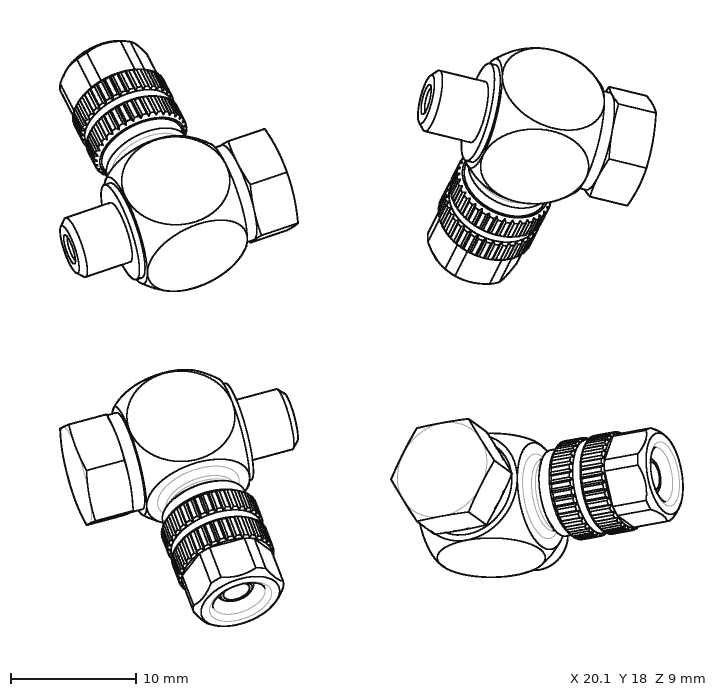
import cadquery as cq
import math


body_width = 9.0
body_depth = 8.65
body_sphere_radius = 6.24

bolt_hex_flats = 8.0
bolt_hex_corners = bolt_hex_flats / math.cos(math.pi / 6)
bolt_hex_height = 3.46
bolt_hex_chamfer = 0.15
collar_diameter = 8.0
rear_collar_height = 1.03
front_collar_height = 0.48
stud_diameter = 5.0
stud_length = 4.39
stud_chamfer = 0.5
bolt_rear_y = body_depth / 2 + rear_collar_height + bolt_hex_height
collar_front_y = -body_depth / 2 - front_collar_height
stud_tip_y = collar_front_y - stud_length

bolt_bore_diameter = 2.0
bolt_bore_end_y = 1.6
bolt_bore_mouth_chamfer = 0.22
drill_point_angle = 118
shank_diameter = 4.2
cross_hole_diameter = 1.5
cross_hole_y = 0.32
chamber_diameter = 5.1
chamber_width = 3.02

overall_length = 20.12
coupling_tip_x = bolt_hex_corners / 2 - overall_length
coupling_hex_length = 3.48
knurl_length = 2.17
knurl_gap = 0.66
first_knurl_x = coupling_tip_x + coupling_hex_length
second_knurl_x = first_knurl_x + knurl_length + knurl_gap
sleeve_end_x = -6.02
neck_start_x = -5.37
neck_end_x = -5.03
body_face_x = -body_width / 2

coupling_hex_flats = 7.0
coupling_hex_round = 7.59
coupling_tip_diameter = 6.6
barrel_diameter = 7.59
sleeve_diameter = 7.0
neck_diameter = 5.8
neck_fillet = body_face_x - neck_end_x
neck_cone_x = -5.81

knurl_diameter = 8.0
knurl_count = 36
knurl_groove_width = 0.32
knurl_groove_depth = 0.18
knurl_chamfer = 0.2
knurl_end_chamfer = 0.35

socket_diameter = 4.4
socket_depth = 3.48
socket_mouth_radius = 0.4
nipple_diameter = 3.0
nipple_recess = 1.0
nipple_tip_chamfer = 0.18
nipple_bore_diameter = 2.2


def cylinder_x(diameter, start, end):
    return cq.Workplane("YZ", origin=(start, 0, 0)).circle(diameter / 2).extrude(end - start)


def cylinder_y(diameter, start, end):
    return cq.Workplane("XZ", origin=(0, end, 0)).circle(diameter / 2).extrude(end - start)


def revolve_y(outline):
    """Revolve (radius, y) points around the Y axis."""
    return cq.Workplane("XY").polyline(outline).close().revolve(360, (0, 0, 0), (0, 1, 0))


def make_body():
    block = cq.Workplane("XY").box(body_width, body_depth, body_width)
    return block.intersect(cq.Workplane("XY").sphere(body_sphere_radius))


def make_bolt_head():
    hex_start = bolt_rear_y - bolt_hex_height
    head = (
        cq.Workplane("XZ", origin=(0, bolt_rear_y, 0))
        .polygon(6, bolt_hex_corners)
        .extrude(bolt_hex_height)
    )
    envelope = revolve_y([
        (0, hex_start),
        (bolt_hex_flats / 2, hex_start),
        (bolt_hex_corners / 2, hex_start + bolt_hex_chamfer),
        (bolt_hex_corners / 2, bolt_rear_y - bolt_hex_chamfer),
        (bolt_hex_flats / 2, bolt_rear_y),
        (0, bolt_rear_y),
    ])
    return head.intersect(envelope)


def make_stud():
    stud = cylinder_y(stud_diameter, stud_tip_y, 0)
    return stud.faces("<Y").chamfer(stud_chamfer)


def make_bolt_bore():
    radius = bolt_bore_diameter / 2
    point_height = radius / math.tan(math.radians(drill_point_angle / 2))
    return revolve_y([
        (0, stud_tip_y),
        (radius + bolt_bore_mouth_chamfer, stud_tip_y),
        (radius, stud_tip_y + bolt_bore_mouth_chamfer),
        (radius, bolt_bore_end_y),
        (0, bolt_bore_end_y + point_height),
    ])


def make_chamber():
    """Ring-shaped chamber between the body and the bolt shank, centred on the cross hole."""
    start = cross_hole_y - chamber_width / 2
    end = start + chamber_width
    return cylinder_y(chamber_diameter, start, end).cut(cylinder_y(shank_diameter, start, end))


def make_cross_hole():
    """Hole right through the shank, joining the chamber to the bolt bore."""
    half_length = shank_diameter / 2
    hole = cylinder_x(cross_hole_diameter, -half_length, half_length)
    return hole.translate((0, cross_hole_y, 0))


def make_coupling_hex():
    across_corners = coupling_hex_flats / math.cos(math.pi / 6)
    chamfer = (coupling_hex_round - coupling_tip_diameter) / 2
    prism = (
        cq.Workplane("YZ", origin=(coupling_tip_x, 0, 0))
        .polygon(6, across_corners)
        .extrude(coupling_hex_length)
    )
    envelope = cylinder_x(coupling_hex_round, coupling_tip_x, first_knurl_x)
    return prism.intersect(envelope.faces("<X").chamfer(chamfer))


def make_knurl(start, end_chamfer):
    """Ring with V grooves along X and chamfered ends."""
    radius = knurl_diameter / 2
    root_radius = radius - knurl_groove_depth
    half_groove = math.asin(knurl_groove_width / knurl_diameter)
    outline = []
    for i in range(knurl_count):
        angle = 2 * math.pi * i / knurl_count
        for r, a in (
            (radius, angle - half_groove),
            (root_radius, angle),
            (radius, angle + half_groove),
        ):
            outline.append((r * math.cos(a), r * math.sin(a)))
    grooved = cq.Workplane("YZ", origin=(start, 0, 0)).polyline(outline).close().extrude(knurl_length)
    envelope = cylinder_x(knurl_diameter, start, start + knurl_length)
    envelope = envelope.faces("<X").chamfer(knurl_chamfer).faces(">X").chamfer(end_chamfer)
    return grooved.intersect(envelope)


def make_neck():
    """Sleeve that narrows to the neck and flares into the body."""
    neck_radius = neck_diameter / 2
    sleeve_radius = sleeve_diameter / 2
    centre_radius = neck_radius + neck_fillet
    cone_angle = math.asin((neck_start_x - neck_cone_x) / neck_fillet)

    def arc_point(centre_x, angle):
        return (centre_x + neck_fillet * math.sin(angle), centre_radius - neck_fillet * math.cos(angle))

    return (
        cq.Workplane("XY")
        .moveTo(second_knurl_x, 0)
        .lineTo(second_knurl_x, sleeve_radius)
        .lineTo(sleeve_end_x, sleeve_radius)
        .lineTo(*arc_point(neck_start_x, -cone_angle))
        .threePointArc(arc_point(neck_start_x, -cone_angle / 2), (neck_start_x, neck_radius))
        .lineTo(neck_end_x, neck_radius)
        .threePointArc(arc_point(neck_end_x, math.pi / 4), (body_face_x, centre_radius))
        .lineTo(0, centre_radius)
        .lineTo(0, 0)
        .close()
        .revolve(360, (0, 0, 0), (1, 0, 0))
    )


def make_socket():
    """Hose socket with a rounded mouth, leaving the nipple standing."""
    radius = socket_diameter / 2
    mouth = socket_mouth_radius
    arc_inset = mouth * (1 - math.sqrt(0.5))
    floor_x = coupling_tip_x + socket_depth
    socket = (
        cq.Workplane("XY")
        .moveTo(coupling_tip_x, 0)
        .lineTo(coupling_tip_x, radius + mouth)
        .threePointArc(
            (coupling_tip_x + arc_inset, radius + arc_inset),
            (coupling_tip_x + mouth, radius),
        )
        .lineTo(floor_x, radius)
        .lineTo(floor_x, 0)
        .close()
        .revolve(360, (0, 0, 0), (1, 0, 0))
    )
    nipple = cylinder_x(nipple_diameter, coupling_tip_x + nipple_recess, floor_x)
    return socket.cut(nipple.faces("<X").chamfer(nipple_tip_chamfer))


def make_nipple_bore():
    """Bore from the nipple tip to the surface of the bolt shank."""
    bore = cylinder_x(nipple_bore_diameter, coupling_tip_x, 0)
    return bore.cut(cylinder_y(shank_diameter, -body_depth / 2, body_depth / 2))


result = (
    make_body()
    .union(cylinder_y(collar_diameter, collar_front_y, bolt_rear_y - bolt_hex_height))
    .union(make_bolt_head())
    .union(make_stud())
    .union(make_neck())
    .union(cylinder_x(barrel_diameter, first_knurl_x, second_knurl_x))
    .union(make_knurl(first_knurl_x, knurl_chamfer))
    .union(make_knurl(second_knurl_x, knurl_end_chamfer))
    .union(make_coupling_hex())
    .cut(make_socket())
    .cut(make_nipple_bore())
    .cut(make_bolt_bore())
    .cut(make_chamber())
    .cut(make_cross_hole())
)